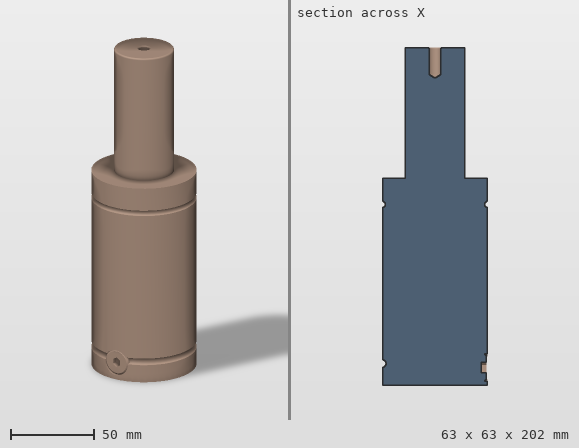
import cadquery as cq
import math

total_height = 202.0
body_diameter = 63.0
body_height = 124.0
rod_diameter = 36.0
rod_edge_radius = 1.0

upper_groove_bottom = 106.5
upper_groove_width = 3.5
lower_groove_bottom = 11.0
lower_groove_width = 4.2

rod_hole_diameter = 6.9
rod_hole_mouth_diameter = 8.0
rod_hole_depth = 16.2
drill_point_angle = 118.0

port_height = 10.7
port_diameter = 16.0
plug_face_diameter = 14.0
plug_face_depth = 0.8
plug_length = 8.0
plug_chamfer = (port_diameter - plug_face_diameter) / 2
port_depth = plug_face_depth + plug_length
hex_across_corners = 6.0
hex_depth = 3.0

body_radius = body_diameter / 2


def make_cylinders():
    body = cq.Workplane("XY").circle(body_radius).extrude(body_height)
    rod = cq.Workplane("XY").circle(rod_diameter / 2).extrude(total_height)
    return body.union(rod.faces(">Z").edges().fillet(rod_edge_radius))


def groove(bottom, width):
    """Ring of circular section, centred on the body surface."""
    section = cq.Workplane("XZ").center(body_radius, bottom + width / 2).circle(width / 2)
    axis_start = (-body_radius, 0)
    axis_end = (-body_radius, 1)
    return section.revolve(360, axis_start, axis_end)


def rod_hole():
    """Drilled hole with a 45 degree countersink and a conical bottom."""
    radius = rod_hole_diameter / 2
    mouth_radius = rod_hole_mouth_diameter / 2
    floor = total_height - rod_hole_depth
    tip = floor - radius / math.tan(math.radians(drill_point_angle / 2))
    profile = (
        cq.Workplane("XZ")
        .moveTo(0, tip)
        .lineTo(radius, floor)
        .lineTo(radius, total_height - (mouth_radius - radius))
        .lineTo(mouth_radius, total_height)
        .lineTo(0, total_height)
        .close()
    )
    return profile.revolve(360, (0, 0), (0, 1))


def port_plane(depth):
    """Plane across the port axis at a depth below the body surface, facing inward."""
    origin = (0, depth - body_radius, port_height)
    return cq.Workplane(cq.Plane(origin=origin, xDir=(0, 0, 1), normal=(0, 1, 0)))


def port_mouth():
    """Flat-bottomed bore that holds the plug."""
    return port_plane(0).circle(port_diameter / 2).extrude(port_depth)


def plug():
    """Plug with a chamfered face and a hexagon socket, filling the bore to its floor."""
    blank = port_plane(plug_face_depth).circle(port_diameter / 2).extrude(plug_length)
    blank = blank.faces("<Y").edges().chamfer(plug_chamfer)
    socket = port_plane(plug_face_depth).polygon(6, hex_across_corners).extrude(hex_depth)
    return blank.cut(socket)


result = (
    make_cylinders()
    .cut(groove(upper_groove_bottom, upper_groove_width))
    .cut(groove(lower_groove_bottom, lower_groove_width))
    .cut(rod_hole())
    .cut(port_mouth())
    .union(plug())
)